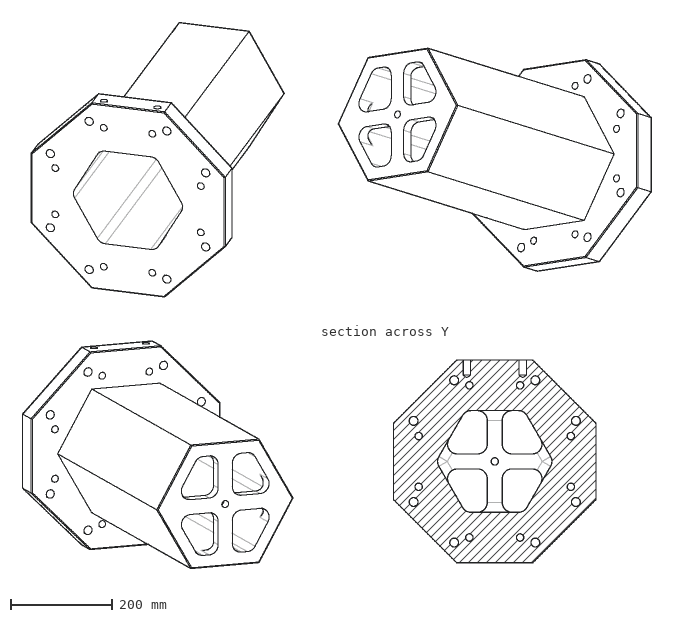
import cadquery as cq
import math

total_length = 586.5
flange_width = 400.0
flange_thickness = 50.0
flange_flat = 150.0
edge_chamfer = 2.0

tube_across_flats = 250.0
wall_thickness = 25.0
end_plate_thickness = 25.0
corner_radius = 19.0

spoke_width = 30.0
center_hole_diameter = 14.0

small_bolt_holes = (14.0, 50.0, 150.0)
large_bolt_holes = (17.0, 80.0, 160.0)

lifting_hole_diameter = 14.0
lifting_hole_spacing = 110.0
lifting_hole_from_front = 18.0
lifting_hole_depth = 30.0
drill_point_angle = 118.0

bore_across_flats = tube_across_flats - 2 * wall_thickness
bore_depth = total_length - end_plate_thickness


def plane_at(y):
    """XZ sketch plane at depth y whose extrusions run toward +Y and whose local axes are X and -Z."""
    return cq.Plane(origin=(0, y, 0), xDir=(1, 0, 0), normal=(0, 1, 0))


def hexagonal_prism(across_flats, start, length):
    """Hexagonal prism along Y with horizontal top and bottom sides."""
    across_corners = across_flats / math.cos(math.pi / 6)
    return cq.Workplane(plane_at(start)).polygon(6, across_corners).extrude(length)


def make_flange():
    """Octagonal plate, chamfered around its front and rear faces."""
    corner_cut = (flange_width - flange_flat) / 2
    plate = cq.Workplane(plane_at(0)).rect(flange_width, flange_width).extrude(flange_thickness)
    plate = plate.edges("|Y").chamfer(corner_cut)
    return plate.faces("<Y or >Y").chamfer(edge_chamfer)


def make_tube():
    """Hexagonal outer body, chamfered at the far end."""
    tube = hexagonal_prism(tube_across_flats, 0, total_length)
    return tube.faces(">Y").chamfer(edge_chamfer)


def make_bore():
    """Blind hexagonal cavity with rounded corners and a rounded floor edge."""
    bore = hexagonal_prism(bore_across_flats, 0, bore_depth)
    bore = bore.edges("|Y").fillet(corner_radius)
    return bore.faces(">Y").edges().fillet(corner_radius)


def make_windows():
    """Four end plate openings: the bore outline divided by a cross of two spokes."""
    start = bore_depth - corner_radius
    length = total_length - start
    outline = hexagonal_prism(bore_across_flats, start, length)
    quadrant_size = bore_across_flats
    quadrant_center = (spoke_width + quadrant_size) / 2
    centers = [(x * quadrant_center, z * quadrant_center) for x in (-1, 1) for z in (-1, 1)]
    quadrants = (
        cq.Workplane(plane_at(start))
        .pushPoints(centers)
        .rect(quadrant_size, quadrant_size)
        .extrude(length)
    )
    return outline.intersect(quadrants).edges("|Y").fillet(corner_radius)


def make_center_hole():
    """Through hole where the spokes cross."""
    hole = cq.Workplane(plane_at(bore_depth)).circle(center_hole_diameter / 2)
    return hole.extrude(end_plate_thickness)


def make_bolt_holes(diameter, offset, row_distance):
    """Eight through holes in the flange, two along each horizontal and vertical side."""
    points = []
    for first in (-1, 1):
        for second in (-1, 1):
            points.append((first * offset, second * row_distance))
            points.append((first * row_distance, second * offset))
    return cq.Workplane(plane_at(0)).pushPoints(points).circle(diameter / 2).extrude(flange_thickness)


def make_lifting_hole(x):
    """Drilled blind hole with a conical bottom, entering from the flange's top edge."""
    radius = lifting_hole_diameter / 2
    point_length = radius / math.tan(math.radians(drill_point_angle / 2))
    profile = (
        cq.Workplane("XZ")
        .lineTo(radius, 0)
        .lineTo(radius, -lifting_hole_depth)
        .lineTo(0, -lifting_hole_depth - point_length)
        .close()
    )
    drill = profile.revolve(360, (0, 0), (0, 1))
    return drill.translate((x, lifting_hole_from_front, flange_width / 2))


result = make_flange().union(make_tube()).cut(make_bore()).cut(make_windows())
result = result.cut(make_center_hole())
for hole_row in (small_bolt_holes, large_bolt_holes):
    result = result.cut(make_bolt_holes(*hole_row))
for side in (-1, 1):
    result = result.cut(make_lifting_hole(side * lifting_hole_spacing / 2))